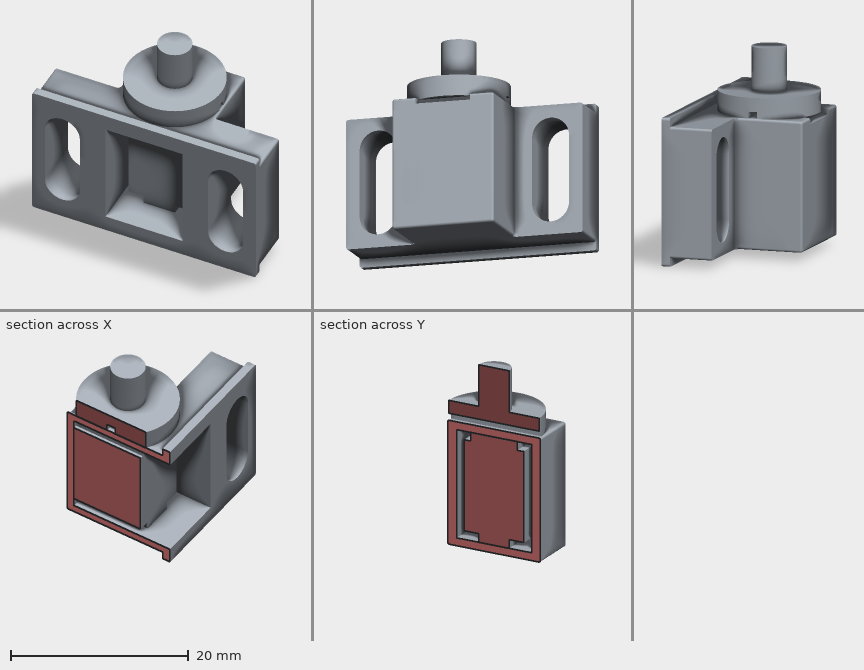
import cadquery as cq

WIDTH = 28.0
DEPTH = 14.0
PLATE_HEIGHT = 17.0
PLATE_THICKNESS = 1.0
BLOCK_HEIGHT = 15.0
WIDE_BLOCK_REAR = 6.0
NARROW_BLOCK_WIDTH = 12.0
EDGE_RADIUS = 0.28
MID_HEIGHT = PLATE_HEIGHT / 2
BLOCK_BOTTOM = MID_HEIGHT - BLOCK_HEIGHT / 2
BLOCK_TOP = MID_HEIGHT + BLOCK_HEIGHT / 2

SLOT_LENGTH = 12.0
SLOT_WIDTH = 4.37
SLOT_SPACING = 20.4

POCKET_WIDTH = 9.6
POCKET_HEIGHT = 13.0
REAR_WALL = 1.0
POCKET_DEPTH = DEPTH - REAR_WALL

NOTCH_WIDTH = 6.45
NOTCH_LENGTH = 1.2
NOTCH_DEPTH = 0.7

INSERT_FRONT = 4.0
INSERT_WIDTH = 7.67
INSERT_GAP = 0.98
TOP_TAB_WIDTH = 6.05
BOTTOM_TAB_WIDTH = 3.95


TOTAL_HEIGHT = 23.4
DISC_DIAMETER = 11.7
SHAFT_DIAMETER = 4.0
SHAFT_LENGTH = 5.0
DISC_SLOT_WIDTH = 1.05
DISC_SLOT_HEIGHT = 0.78
KNOB_Y = DEPTH - NARROW_BLOCK_WIDTH / 2
DISC_THICKNESS = TOTAL_HEIGHT - SHAFT_LENGTH - BLOCK_TOP


def box(width, front, rear, bottom, top):
    """Box centred on X between the given Y and Z limits."""
    return cq.Workplane("XY").box(width, rear - front, top - bottom, centered=(True, False, False)).translate(
        (0, front, bottom)
    )


def corner_fillet(side):
    """Concave filler where one side of the narrow block meets the wide block."""
    wall_x = side * NARROW_BLOCK_WIDTH / 2
    outer_x = wall_x + side * EDGE_RADIUS
    rear_y = WIDE_BLOCK_REAR + EDGE_RADIUS
    filler = (
        cq.Workplane("XY", origin=(0, 0, BLOCK_BOTTOM))
        .moveTo(wall_x - side * EDGE_RADIUS, WIDE_BLOCK_REAR)
        .lineTo(outer_x, WIDE_BLOCK_REAR)
        .radiusArc((wall_x, rear_y), side * EDGE_RADIUS)
        .lineTo(wall_x - side * EDGE_RADIUS, rear_y)
        .close()
        .extrude(BLOCK_HEIGHT)
    )
    return filler


def make_housing():
    plate = box(WIDTH, 0, PLATE_THICKNESS, 0, PLATE_HEIGHT).edges("|Y").fillet(EDGE_RADIUS)
    wide_block = box(WIDTH, PLATE_THICKNESS, WIDE_BLOCK_REAR, BLOCK_BOTTOM, BLOCK_TOP)
    wide_block = wide_block.edges("|Y").fillet(EDGE_RADIUS)
    narrow_block = box(NARROW_BLOCK_WIDTH, PLATE_THICKNESS, DEPTH, BLOCK_BOTTOM, BLOCK_TOP)
    narrow_block = narrow_block.edges("|Y or >Y").fillet(EDGE_RADIUS)
    body = plate.union(wide_block).union(narrow_block)
    for side in (-1, 1):
        body = body.union(corner_fillet(side))

    mounting_slots = (
        cq.Workplane("XZ", origin=(0, 0, MID_HEIGHT))
        .pushPoints([(-SLOT_SPACING / 2, 0), (SLOT_SPACING / 2, 0)])
        .slot2D(SLOT_LENGTH, SLOT_WIDTH, 90)
        .extrude(-WIDE_BLOCK_REAR)
    )
    pocket = box(
        POCKET_WIDTH, 0, POCKET_DEPTH, MID_HEIGHT - POCKET_HEIGHT / 2, MID_HEIGHT + POCKET_HEIGHT / 2
    )
    notch = box(NOTCH_WIDTH, DEPTH - NOTCH_LENGTH, DEPTH, BLOCK_TOP - NOTCH_DEPTH, BLOCK_TOP)
    return body.cut(mounting_slots).cut(pocket).cut(notch)


def make_insert():
    floor = MID_HEIGHT - POCKET_HEIGHT / 2
    ceiling = MID_HEIGHT + POCKET_HEIGHT / 2
    rear = POCKET_DEPTH
    core = box(INSERT_WIDTH, INSERT_FRONT, rear, floor + INSERT_GAP, ceiling - INSERT_GAP)
    bottom_tab = box(BOTTOM_TAB_WIDTH, INSERT_FRONT, rear, floor, floor + INSERT_GAP)
    top_tab = box(TOP_TAB_WIDTH, INSERT_FRONT, rear, ceiling - INSERT_GAP, ceiling)
    return core.union(bottom_tab).union(top_tab)


def make_knob():
    base = cq.Workplane("XY", origin=(0, KNOB_Y, BLOCK_TOP))
    disc = base.circle(DISC_DIAMETER / 2).extrude(DISC_THICKNESS)
    shaft = base.circle(SHAFT_DIAMETER / 2).extrude(DISC_THICKNESS + SHAFT_LENGTH)
    cross_slot = box(
        DISC_DIAMETER,
        KNOB_Y - DISC_SLOT_WIDTH / 2,
        KNOB_Y + DISC_SLOT_WIDTH / 2,
        BLOCK_TOP,
        BLOCK_TOP + DISC_SLOT_HEIGHT,
    )
    return disc.union(shaft).cut(cross_slot)


housing = make_housing()
insert = make_insert()
knob = make_knob()
result = cq.Compound.makeCompound([housing.val(), insert.val(), knob.val()])